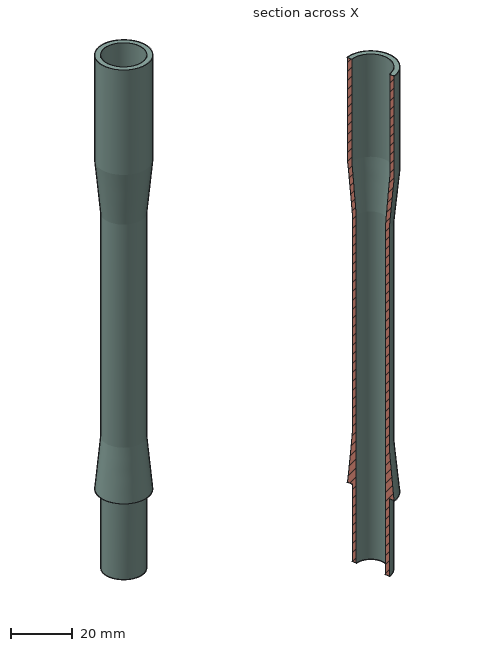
import cadquery as cq

total_length = 195.0
spigot_length = 30.0
cone_length = 20.0
socket_length = 40.0

socket_diameter = 19.0
tube_diameter = 15.0
bore_diameter = 11.5
socket_bore_diameter = tube_diameter

collar_top = spigot_length + cone_length
socket_bottom = total_length - socket_length
upper_cone_bottom = socket_bottom - cone_length

socket_radius = socket_diameter / 2
tube_radius = tube_diameter / 2
bore_radius = bore_diameter / 2
socket_bore_radius = socket_bore_diameter / 2


def revolve_profile(points):
    """Solid of revolution about Z from (radius, height) points."""
    return cq.Workplane("XZ").polyline(points).close().revolve(360, (0, 0, 0), (0, 1, 0))


body_profile = [
    (0, 0),
    (tube_radius, 0),
    (tube_radius, spigot_length),
    (socket_radius, spigot_length),
    (tube_radius, collar_top),
    (tube_radius, upper_cone_bottom),
    (socket_radius, socket_bottom),
    (socket_radius, total_length),
    (0, total_length),
]
body = revolve_profile(body_profile)

bore_profile = [
    (0, 0),
    (bore_radius, 0),
    (bore_radius, upper_cone_bottom),
    (socket_bore_radius, socket_bottom),
    (socket_bore_radius, total_length),
    (0, total_length),
]
bore = revolve_profile(bore_profile)

result = body.cut(bore)